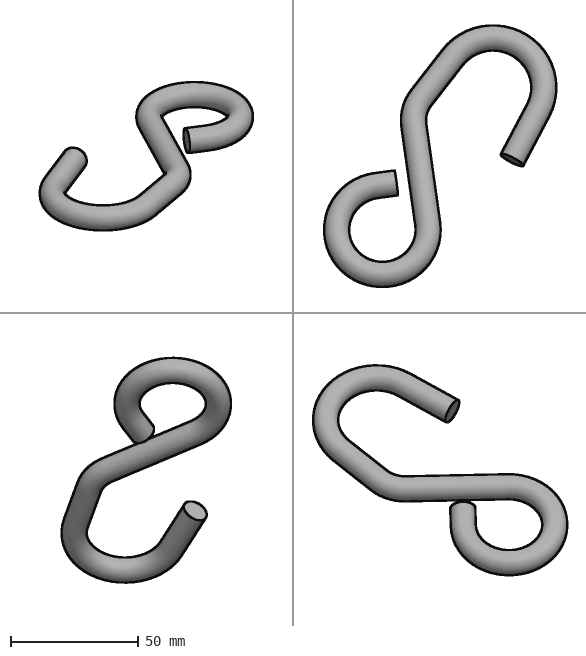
import cadquery as cq
import math

total_length = 120.0
wire_diameter = total_length / 12
wire_radius = wire_diameter / 2
small_loop_radius = 18.0
large_loop_radius = 2 * wire_diameter
bend_radius = 1.5 * wire_diameter
small_tail_length = 8.0
large_tail_length = 22.5
diagonal_angle = 45.0
large_tail_lean = 10.0


def polar(center, radius, angle):
    """Point at a distance and angle (degrees) from a center."""
    turn = math.radians(angle)
    return (center[0] + radius * math.cos(turn), center[1] + radius * math.sin(turn))


loop_spacing = total_length - small_loop_radius - large_loop_radius - wire_diameter
large_center = (0.0, 0.0)
small_center = (0.0, loop_spacing)

small_loop_start = polar(small_center, small_loop_radius, -diagonal_angle)
small_loop_top = polar(small_center, small_loop_radius, 90)
small_loop_end = polar(small_center, small_loop_radius, 180 + diagonal_angle)
small_tip = polar(small_loop_start, small_tail_length, 180 + diagonal_angle)

corner_y = small_loop_end[1] - (large_loop_radius - small_loop_end[0]) * math.tan(math.radians(diagonal_angle))
bend_tangent = bend_radius * math.tan(math.radians(diagonal_angle / 2))
bend_center = (large_loop_radius - bend_radius, corner_y - bend_tangent)
bend_start = polar(bend_center, bend_radius, diagonal_angle)
bend_middle = polar(bend_center, bend_radius, diagonal_angle / 2)
bend_end = polar(bend_center, bend_radius, 0)

large_loop_start = polar(large_center, large_loop_radius, 0)
large_loop_bottom = polar(large_center, large_loop_radius, -90)
large_loop_end = polar(large_center, large_loop_radius, 180 + large_tail_lean)
large_tip = polar(large_loop_end, large_tail_length, 90 + large_tail_lean)

centreline = (
    cq.Workplane("XY")
    .moveTo(*small_tip)
    .lineTo(*small_loop_start)
    .threePointArc(small_loop_top, small_loop_end)
    .lineTo(*bend_start)
    .threePointArc(bend_middle, bend_end)
    .lineTo(*large_loop_start)
    .threePointArc(large_loop_bottom, large_loop_end)
    .lineTo(*large_tip)
)

tail_direction = (
    small_loop_start[0] - small_tip[0],
    small_loop_start[1] - small_tip[1],
    0,
)
wire_end = cq.Plane(origin=(*small_tip, 0), xDir=(0, 0, 1), normal=tail_direction)
result = cq.Workplane(wire_end).circle(wire_radius).sweep(centreline)